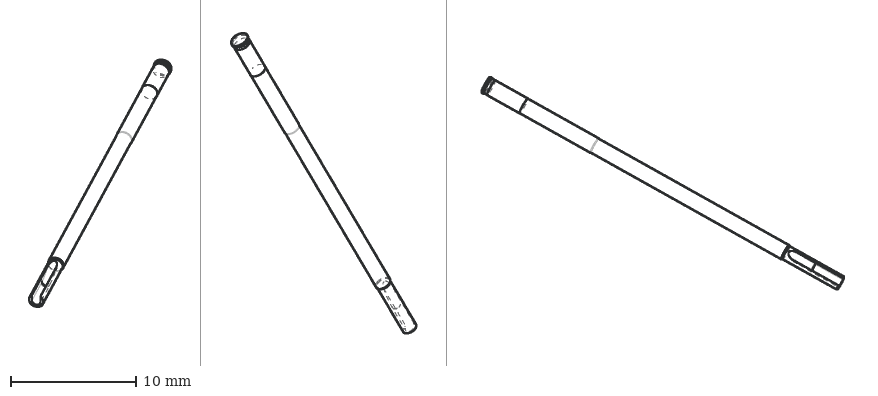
import cadquery as cq

length = 32.7

collar_diameter = 1.45
neck_diameter = 1.35
press_ring_diameter = 1.37
barrel_diameter = 1.35
shaft_diameter = 1.3
tip_diameter = 1.2

collar_length = 0.2
neck_length = 0.3
press_ring_length = 3.0
barrel_length = 6.5
cone_length = 0.1
shaft_length = 17.5

slot_width = 0.7
slot_floor_drop = 0.05
slot_deep_length = 2.55
slot_straight_length = 2.65
runout_radius = 2.5

collar_y = length - collar_length
press_ring_end_y = collar_y - neck_length
press_ring_start_y = press_ring_end_y - press_ring_length
barrel_y = press_ring_start_y - barrel_length
shaft_end_y = barrel_y - cone_length
shaft_start_y = shaft_end_y - shaft_length
tip_end_y = shaft_start_y - cone_length


def make_body():
    """Turned pin, revolved about Y from a half profile of (Y, radius) points."""
    collar_radius = collar_diameter / 2
    neck_radius = neck_diameter / 2
    press_ring_radius = press_ring_diameter / 2
    barrel_radius = barrel_diameter / 2
    shaft_radius = shaft_diameter / 2
    tip_radius = tip_diameter / 2
    profile = (
        cq.Workplane("YZ")
        .moveTo(0, 0)
        .lineTo(0, tip_radius)
        .lineTo(tip_end_y, tip_radius)
        .lineTo(shaft_start_y, shaft_radius)
        .lineTo(shaft_end_y, shaft_radius)
        .lineTo(barrel_y, barrel_radius)
        .lineTo(press_ring_start_y, barrel_radius)
        .lineTo(press_ring_start_y, press_ring_radius)
        .lineTo(press_ring_end_y, press_ring_radius)
        .lineTo(press_ring_end_y, neck_radius)
        .lineTo(collar_y, neck_radius)
        .lineTo(collar_y, collar_radius)
        .lineTo(length, collar_radius)
        .lineTo(length, 0)
        .close()
    )
    return profile.revolve(360, (0, 0, 0), (1, 0, 0))


def slot_section(y, drop=0):
    """U-shaped slot section at the given Y, reaching above the pin; drop lowers its floor."""
    half_width = slot_width / 2
    section_top = collar_diameter / 2
    return (
        cq.Workplane("XZ", origin=(0, y, 0))
        .moveTo(-half_width, -drop)
        .threePointArc((0, -half_width - drop), (half_width, -drop))
        .lineTo(half_width, section_top)
        .lineTo(-half_width, section_top)
        .close()
    )


def make_slot():
    """Straight slot from the tip, ending in an arc that rises through the top."""
    deep_part = slot_section(0, slot_floor_drop).extrude(-slot_deep_length)
    straight = slot_section(0).extrude(-slot_straight_length)
    runout = slot_section(slot_straight_length).revolve(
        90, (0, runout_radius, 0), (1, runout_radius, 0)
    )
    return deep_part.union(straight).union(runout)


result = make_body().cut(make_slot())